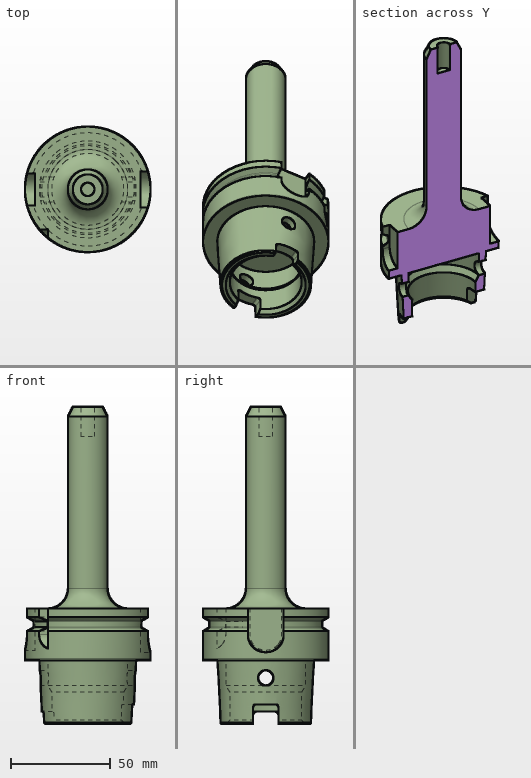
import cadquery as cq
import math


flange_dia = 63.0
flange_height = 26.0
flange_relief_height = 0.8
flange_relief_depth = 0.1

groove_dia = 56.8
groove_center_z = 18.05
groove_floor_width = 3.45
groove_flank_angle = math.radians(30.0)
groove_floor_fillet = 0.6
groove_overrun = 1.0

stem_dia = 20.0
stem_length = 101.0
stem_base_fillet = 10.0
stem_tip_dia = 15.0
stem_tip_height = 5.0
tip_hole_dia = 6.7
tip_hole_depth = 15.0

shank_length = 32.0
shank_top_dia = 48.6
shank_taper = 0.1
shank_end_chamfer = 0.8

cavity_mouth_dia = 36.0
cavity_mouth_chamfer = 2.0
cavity_undercut_dia = 40.0
cavity_undercut_z = -12.5
cavity_undercut_angle = math.radians(30.0)

cross_hole_dia = 7.5
cross_hole_z = -8.8

slot_width = 12.54
slot_corner_fillet = 1.5
shallow_slot_depth = 6.3
deep_slot_depth = 10.0

keyway_floor_x = 26.5
keyway_center_z = 13.0
narrow_keyway_width = 16.0
wide_keyway_width = 18.0
orientation_notch_x = -20.0
orientation_notch_y = -20.0

flange_radius = flange_dia / 2
groove_radius = groove_dia / 2
stem_radius = stem_dia / 2
top_z = flange_height + stem_length
shank_top_radius = shank_top_dia / 2
shank_end_radius = shank_top_radius - shank_taper * shank_length / 2


def revolve_about_z(profile):
    """Revolve a closed (radius, Z) profile about the Z axis."""
    return profile.close().revolve(360, (0, 0, 0), (0, 1, 0))


def make_shank():
    cone = revolve_about_z(
        cq.Workplane("XZ")
        .moveTo(0, 0)
        .lineTo(shank_top_radius, 0)
        .lineTo(shank_end_radius, -shank_length)
        .lineTo(0, -shank_length)
    )
    return cone.faces("<Z").chamfer(shank_end_chamfer)


def make_flange():
    disc = cq.Workplane("XY").circle(flange_radius).extrude(flange_height)
    return disc.faces("<Z").chamfer(flange_relief_height, flange_relief_depth)


def make_groove_ring():
    """Trapezoidal ring removed from the flange, with rounded floor corners."""
    half_floor = groove_floor_width / 2
    half_mouth = half_floor + (flange_radius - groove_radius) * math.tan(groove_flank_angle)
    outside = flange_radius + groove_overrun
    ring = revolve_about_z(
        cq.Workplane("XZ")
        .moveTo(groove_radius, groove_center_z - half_floor)
        .lineTo(flange_radius, groove_center_z - half_mouth)
        .lineTo(outside, groove_center_z - half_mouth)
        .lineTo(outside, groove_center_z + half_mouth)
        .lineTo(flange_radius, groove_center_z + half_mouth)
        .lineTo(groove_radius, groove_center_z + half_floor)
    )
    floor_corners = ring.edges(cq.selectors.RadiusNthSelector(0))
    return floor_corners.fillet(groove_floor_fillet)


def make_stem():
    """Stem with a concave base fillet and a conical tip."""
    arc_offset = stem_base_fillet * (1 - math.sqrt(0.5))
    return revolve_about_z(
        cq.Workplane("XZ")
        .moveTo(0, flange_height)
        .lineTo(stem_radius + stem_base_fillet, flange_height)
        .threePointArc(
            (stem_radius + arc_offset, flange_height + arc_offset),
            (stem_radius, flange_height + stem_base_fillet),
        )
        .lineTo(stem_radius, top_z - stem_tip_height)
        .lineTo(stem_tip_dia / 2, top_z)
        .lineTo(0, top_z)
    )


def make_tip_hole():
    tip_face = cq.Workplane("XY").workplane(offset=top_z)
    return tip_face.circle(tip_hole_dia / 2).extrude(-tip_hole_depth)


def make_cavity():
    mouth_radius = cavity_mouth_dia / 2
    undercut_radius = cavity_undercut_dia / 2
    cone_height = (undercut_radius - mouth_radius) / math.tan(cavity_undercut_angle)
    return revolve_about_z(
        cq.Workplane("XZ")
        .moveTo(0, -shank_length)
        .lineTo(mouth_radius + cavity_mouth_chamfer, -shank_length)
        .lineTo(mouth_radius, -shank_length + cavity_mouth_chamfer)
        .lineTo(mouth_radius, cavity_undercut_z - cone_height)
        .lineTo(undercut_radius, cavity_undercut_z)
        .lineTo(undercut_radius, 0)
        .lineTo(0, 0)
    )


def make_cross_hole():
    return (
        cq.Workplane("YZ")
        .center(0, cross_hole_z)
        .circle(cross_hole_dia / 2)
        .extrude(shank_top_radius, both=True)
    )


def make_drive_slot(side, depth):
    """Slot from the axis out through the shank wall; side is -1 or +1 along X."""
    slot = (
        cq.Workplane("YZ")
        .workplane(offset=side * shank_top_radius / 2)
        .center(0, -shank_length)
        .rect(slot_width, 2 * depth)
        .extrude(shank_top_radius / 2, both=True)
    )
    return slot.edges("|X and >Z").fillet(slot_corner_fillet)


def make_keyway(center_y, width, floor_x, side):
    """Keyway open at the flange top, with a full-round bottom; it runs outward from floor_x."""
    radius = width / 2
    return (
        cq.Workplane("YZ")
        .workplane(offset=floor_x)
        .moveTo(center_y - radius, flange_height)
        .lineTo(center_y - radius, keyway_center_z)
        .threePointArc((center_y, keyway_center_z - radius), (center_y + radius, keyway_center_z))
        .lineTo(center_y + radius, flange_height)
        .close()
        .extrude(side * flange_radius)
    )


notch_center_y = orientation_notch_y - narrow_keyway_width / 2

holder = make_flange().cut(make_groove_ring())
holder = holder.cut(make_keyway(0, narrow_keyway_width, -keyway_floor_x, -1))
holder = holder.cut(make_keyway(0, wide_keyway_width, keyway_floor_x, 1))
holder = holder.cut(make_keyway(notch_center_y, narrow_keyway_width, orientation_notch_x, -1))
holder = holder.union(make_stem()).union(make_shank())
holder = holder.cut(make_tip_hole()).cut(make_cavity()).cut(make_cross_hole())
holder = holder.cut(make_drive_slot(-1, shallow_slot_depth))
result = holder.cut(make_drive_slot(1, deep_slot_depth))